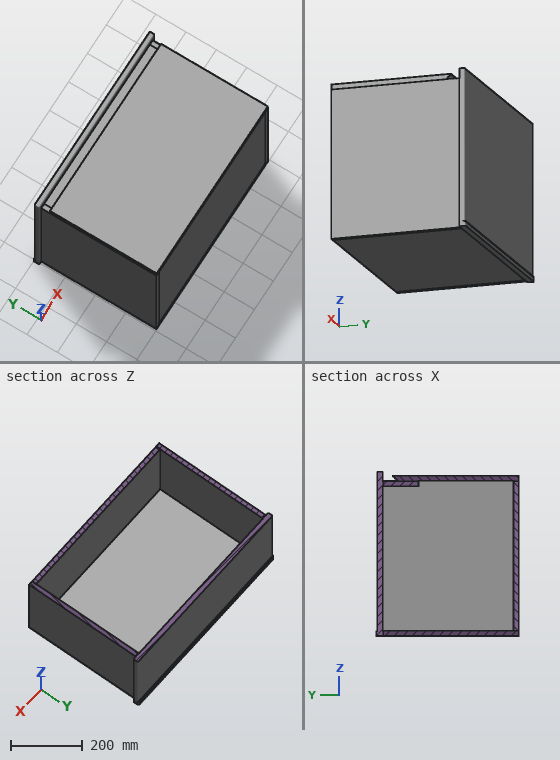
import cadquery as cq

DOOR_WIDTH = 610.0
DOOR_HEIGHT = 460.0
OVERALL_DEPTH = 399.0

BOARD = 15.0
CARCASS_WIDTH = 589.0
CARCASS_DEPTH = 380.0
CARCASS_HEIGHT = 434.0
INNER_WIDTH = CARCASS_WIDTH - 2 * BOARD
RAIL_DEPTH = 100.0

TOP_WIDTH = 587.0
TOP_DEPTH = 352.0
TOP_LAND = 2.0

LIP_HEIGHT = 14.0
LIP_PROJECTION = 2.5
DOOR_ROUND = 3.35
DOOR_FRONT = OVERALL_DEPTH - LIP_PROJECTION


def board(width, depth, height, back, bottom, x_centre=0):
    """A plain rectangular board, placed by its back face and its underside."""
    return (
        cq.Workplane("XY")
        .box(width, depth, height, centered=(True, False, False))
        .translate((x_centre, back, bottom))
    )


def side_panel(x_centre):
    return board(BOARD, CARCASS_DEPTH, CARCASS_HEIGHT, 0, 0, x_centre)


def bottom_panel():
    return board(INNER_WIDTH, CARCASS_DEPTH, BOARD, 0, 0)


def back_panel():
    return board(INNER_WIDTH, BOARD, CARCASS_HEIGHT - BOARD, 0, BOARD)


def front_rail():
    """Flat rail between the sides, flush with their top and front edges."""
    return board(INNER_WIDTH, RAIL_DEPTH, BOARD, CARCASS_DEPTH - RAIL_DEPTH, CARCASS_HEIGHT - BOARD)


def worktop():
    """Board whose front edge slopes back at 45 degrees below a narrow upright land."""
    top = CARCASS_HEIGHT + BOARD
    bevel = BOARD - TOP_LAND
    return (
        cq.Workplane("YZ")
        .moveTo(0, CARCASS_HEIGHT)
        .lineTo(TOP_DEPTH - bevel, CARCASS_HEIGHT)
        .lineTo(TOP_DEPTH, top - TOP_LAND)
        .lineTo(TOP_DEPTH, top)
        .lineTo(0, top)
        .close()
        .extrude(TOP_WIDTH / 2, both=True)
    )


def door():
    """Slab with rounded sides and top, thickened in front by a bottom lip."""
    slab_depth = DOOR_FRONT - CARCASS_DEPTH
    lip_depth = OVERALL_DEPTH - CARCASS_DEPTH
    slab = board(DOOR_WIDTH, slab_depth, DOOR_HEIGHT, CARCASS_DEPTH, 0)
    rounded_slab = (
        slab.edges("|Y and >Z").fillet(DOOR_ROUND)
        .faces("<Y or >Y").edges("not <Z").fillet(DOOR_ROUND)
    )
    lip = board(DOOR_WIDTH, lip_depth, LIP_HEIGHT, CARCASS_DEPTH, 0)
    rounded_lip = lip.edges("|Z").fillet(DOOR_ROUND)
    return rounded_slab.union(rounded_lip)


side_offset = (CARCASS_WIDTH - BOARD) / 2
sides = [side_panel(x_centre).val() for x_centre in (-side_offset, side_offset)]

result = cq.Compound.makeCompound([
    *sides,
    bottom_panel().val(),
    back_panel().val(),
    front_rail().val(),
    worktop().val(),
    door().val(),
])